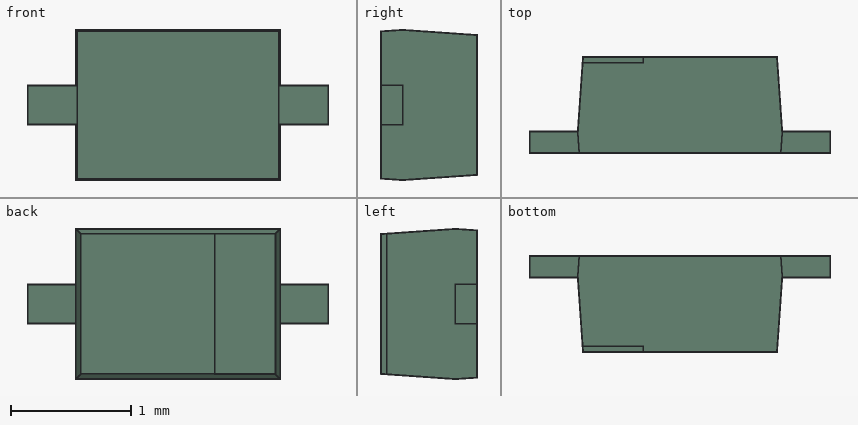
import cadquery as cq
import math

overall_length = 2.5
overall_depth = 0.8
body_length = 1.7
body_height = 1.25
draft_angle = 4.0

lead_depth = 0.18
lead_width = 0.325

marker_length = 0.5
marker_thickness = 0.05

mounting_y = -overall_depth / 2
marked_y = overall_depth / 2
parting_y = mounting_y + lead_depth
marked_half_length = body_length / 2 - (marked_y - parting_y) * math.tan(math.radians(draft_angle))


def box_between(x_range, y_range, height):
    """Box spanning the X and Y ranges, centred on Z = 0."""
    length = x_range[1] - x_range[0]
    depth = y_range[1] - y_range[0]
    center = (sum(x_range) / 2, sum(y_range) / 2, 0)
    return cq.Workplane("XY").box(length, depth, height).translate(center)


def make_molding_half(direction, depth):
    """Drafted block narrowing away from the parting plane; direction is -1 or +1 along Y."""
    parting_plane = cq.Plane(origin=(0, parting_y, 0), xDir=(1, 0, 0), normal=(0, direction, 0))
    return cq.Workplane(parting_plane).rect(body_length, body_height).extrude(depth, taper=draft_angle)


def make_molding():
    """Full molded block: two drafted halves meeting at the parting plane."""
    mounting_half = make_molding_half(-1, lead_depth)
    marked_half = make_molding_half(1, marked_y - parting_y)
    return mounting_half.union(marked_half)


def make_marker_zone():
    """Region at one end of the marked face that the marker fills."""
    return box_between(
        (-body_length / 2, marker_length - marked_half_length),
        (marked_y - marker_thickness, marked_y),
        body_height,
    )


def make_lead(side, molding):
    """Straight lead from the molded wall out to the tip; side is -1 or +1 along X."""
    x_range = sorted((0, side * overall_length / 2))
    bar = box_between(x_range, (mounting_y, parting_y), lead_width)
    return bar.cut(molding)


molding = make_molding()
marker_zone = make_marker_zone()
housing = molding.cut(marker_zone)
marker = molding.intersect(marker_zone)
leads = [make_lead(side, molding) for side in (-1, 1)]

result = cq.Compound.makeCompound([housing.val(), marker.val(), *[lead.val() for lead in leads]])